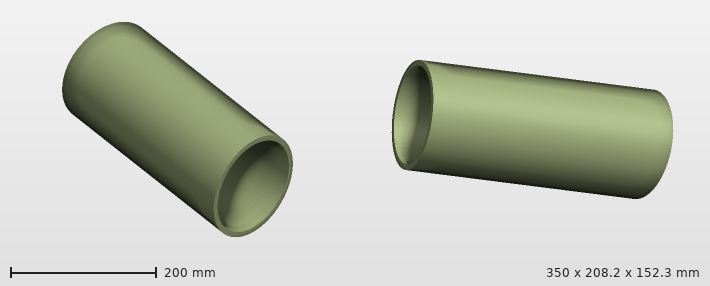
import cadquery as cq
import math

length_x = 350.0
outer_diameter = 152.3
wall = 7.7
tilt = 9.4

outer_radius = outer_diameter / 2
inner_radius = outer_radius - wall
tilt_radians = math.radians(tilt)

corner_x = -outer_radius * math.sin(tilt_radians)
mitre_x = corner_x + length_x

blank_length = (mitre_x + outer_diameter) / math.cos(tilt_radians)
axis = cq.Vector(math.cos(tilt_radians), -math.sin(tilt_radians), 0)
square_end = cq.Plane(origin=(0, 0, 0), xDir=(0, 0, 1), normal=axis)
tube = cq.Workplane(square_end).circle(outer_radius).circle(inner_radius).extrude(blank_length)

cutter_size = 2 * blank_length
mitre_cutter = cq.Workplane("YZ", origin=(mitre_x, 0, 0)).rect(cutter_size, cutter_size).extrude(cutter_size)
result = tube.cut(mitre_cutter)